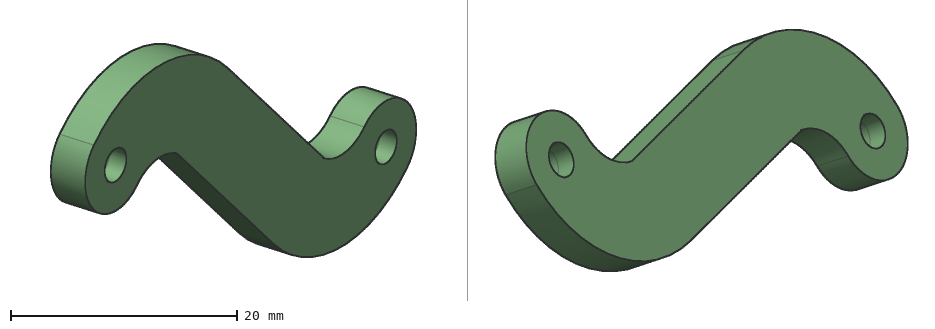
import cadquery as cq
import math

thickness = 3.8
hole_spacing_y = 40.0
hole_diameter = 3.2
end_radius = 4.5
bend_radius = 9.5
arm_angle = 45.0

outer_radius = bend_radius + end_radius
inner_radius = bend_radius - end_radius
hole_angle = 180.0 - arm_angle
bend_offset = hole_spacing_y / 2 + bend_radius * math.cos(math.radians(hole_angle))

edge_distance = 2 * bend_offset * math.sin(math.radians(arm_angle)) - outer_radius
inner_end_angle = arm_angle + math.degrees(math.acos(edge_distance / inner_radius))


def polar(center, radius, angle):
    """Point (Y, Z) at the given radius and angle in degrees about a centre."""
    a = math.radians(angle)
    return (center[0] + radius * math.cos(a), center[1] + radius * math.sin(a))


def opposite(point):
    """Point turned half a revolution about the middle of the link."""
    return (-point[0], -point[1])


bend_center = (-bend_offset, 0.0)
hole_center = polar(bend_center, bend_radius, hole_angle)

outer_start = polar(bend_center, outer_radius, arm_angle)

half_arcs = [
    (polar(bend_center, outer_radius, 90.0), polar(bend_center, outer_radius, hole_angle)),
    (polar(hole_center, end_radius, hole_angle + 90.0), polar(bend_center, inner_radius, hole_angle)),
    (
        polar(bend_center, inner_radius, (hole_angle + inner_end_angle) / 2),
        polar(bend_center, inner_radius, inner_end_angle),
    ),
]


def link_plate():
    """S-shaped plate, centred on the origin."""
    outline = cq.Workplane("YZ").moveTo(*outer_start)
    for middle, end in half_arcs:
        outline = outline.threePointArc(middle, end)
    outline = outline.lineTo(*opposite(outer_start))
    for middle, end in half_arcs:
        outline = outline.threePointArc(opposite(middle), opposite(end))
    return outline.close().extrude(thickness / 2, both=True)


def pivot_holes():
    """Cylinders that cut the two through holes."""
    centers = [hole_center, opposite(hole_center)]
    return cq.Workplane("YZ").pushPoints(centers).circle(hole_diameter / 2).extrude(thickness, both=True)


result = link_plate().cut(pivot_holes())